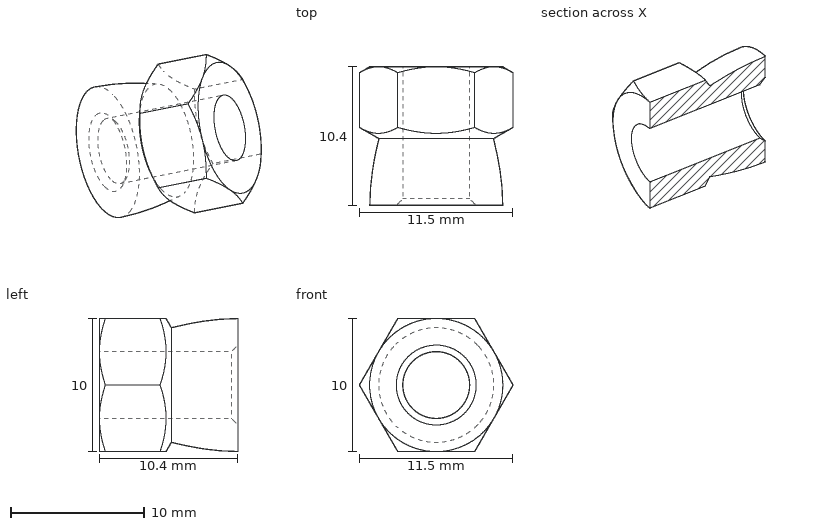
import math

import cadquery as cq

across_flats = 10.0
total_length = 10.4
corner_chamfer_angle = math.radians(30)
across_corners = across_flats / math.cos(math.radians(30))

collar_length = 5.0
collar_end_radius = across_flats / 2
neck_radius = 4.31
neck_slope_angle = math.radians(13.5)

bore_radius = 5.0 / 2
bore_chamfer = 0.5

blank_margin = 1.0


def revolve_about_y(profile):
    """Close an XY profile and revolve it a full turn about the Y axis."""
    return profile.close().revolve(360, (0, 0, 0), (0, 1, 0))


def hex_prism():
    """Hexagonal bar with flats facing +Z and -Z, from the collar to the far end."""
    return (
        cq.Workplane("XZ", origin=(0, total_length, 0))
        .polygon(6, across_corners)
        .extrude(total_length - collar_length)
    )


def corner_chamfer_blank():
    """Turned blank whose end cones chamfer the corners of the hexagon."""
    chamfer_slope = math.tan(corner_chamfer_angle)
    outer_radius = across_corners / 2 + blank_margin
    back_face_radius = across_flats / 2
    front_rise = (outer_radius - neck_radius) * chamfer_slope
    back_drop = (outer_radius - back_face_radius) * chamfer_slope
    return revolve_about_y(
        cq.Workplane("XY")
        .moveTo(0, collar_length)
        .lineTo(neck_radius, collar_length)
        .lineTo(outer_radius, collar_length + front_rise)
        .lineTo(outer_radius, total_length - back_drop)
        .lineTo(back_face_radius, total_length)
        .lineTo(0, total_length)
    )


def flared_collar():
    """Collar that widens along a smooth curve from the neck to the end face."""
    neck_tangent = (-math.sin(neck_slope_angle), math.cos(neck_slope_angle))
    return revolve_about_y(
        cq.Workplane("XY")
        .lineTo(collar_end_radius, 0)
        .spline(
            [(neck_radius, collar_length)],
            tangents=[(0, 1), neck_tangent],
            includeCurrent=True,
        )
        .lineTo(0, collar_length)
    )


def chamfered_bore():
    """Through bore with a 45 degree chamfer at the collar end."""
    return revolve_about_y(
        cq.Workplane("XY")
        .lineTo(bore_radius + bore_chamfer, 0)
        .lineTo(bore_radius, bore_chamfer)
        .lineTo(bore_radius, total_length)
        .lineTo(0, total_length)
    )


head = hex_prism().intersect(corner_chamfer_blank())
result = head.union(flared_collar()).cut(chamfered_bore())